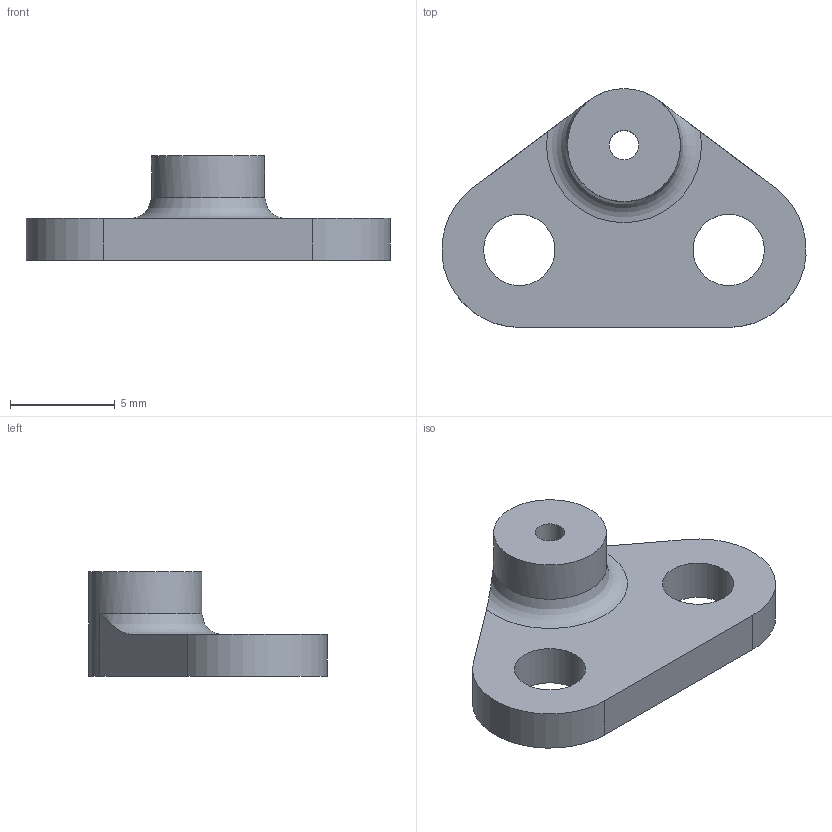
import cadquery as cq
import math

hole_spacing = 10.0
mount_hole_diameter = 3.4
corner_radius = 3.7
plate_thickness = 2.0
total_height = 5.0
boss_diameter = 5.4
boss_offset = 5.0
boss_hole_diameter = 1.4
fillet_radius = 1.0

boss_radius = boss_diameter / 2
half_spacing = hole_spacing / 2
fillet_top = plate_thickness + fillet_radius
fillet_outer_radius = boss_radius + fillet_radius


def plate_outline():
    """Rounded triangle: two mounting corners joined by tangents to the boss."""
    center_distance = math.hypot(half_spacing, boss_offset)
    boss_direction = math.atan2(boss_offset, -half_spacing)
    normal_angle = boss_direction - math.acos((corner_radius - boss_radius) / center_distance)
    normal_x = math.cos(normal_angle)
    normal_y = math.sin(normal_angle)

    corner_x = half_spacing + corner_radius * normal_x
    corner_y = corner_radius * normal_y
    boss_x = boss_radius * normal_x
    boss_y = boss_offset + boss_radius * normal_y
    side_x = half_spacing + corner_radius

    return (
        cq.Workplane("XY")
        .moveTo(-half_spacing, -corner_radius)
        .lineTo(half_spacing, -corner_radius)
        .threePointArc((side_x, 0), (corner_x, corner_y))
        .lineTo(boss_x, boss_y)
        .threePointArc((0, boss_offset + boss_radius), (-boss_x, boss_y))
        .lineTo(-corner_x, corner_y)
        .threePointArc((-side_x, 0), (-half_spacing, -corner_radius))
        .close()
    )


def boss_fillet():
    """Concave flare around the boss foot, trimmed flush with the plate sides."""
    arc_offset = fillet_radius * math.sqrt(0.5)
    arc_middle = (fillet_outer_radius - arc_offset, fillet_top - arc_offset)
    flare = (
        cq.Workplane("XZ")
        .lineTo(fillet_outer_radius, 0)
        .lineTo(fillet_outer_radius, plate_thickness)
        .threePointArc(arc_middle, (boss_radius, fillet_top))
        .lineTo(0, fillet_top)
        .close()
        .revolve(360, (0, 0, 0), (0, 1, 0))
        .translate((0, boss_offset, 0))
    )
    return flare.intersect(plate_outline().extrude(fillet_top))


def cylinder(x, y, diameter):
    """Full-height vertical cylinder standing on the bottom plane."""
    return cq.Workplane("XY").center(x, y).circle(diameter / 2).extrude(total_height)


result = plate_outline().extrude(plate_thickness)
result = result.union(boss_fillet())
result = result.union(cylinder(0, boss_offset, boss_diameter))

for hole_x in (-half_spacing, half_spacing):
    result = result.cut(cylinder(hole_x, 0, mount_hole_diameter))
result = result.cut(cylinder(0, boss_offset, boss_hole_diameter))